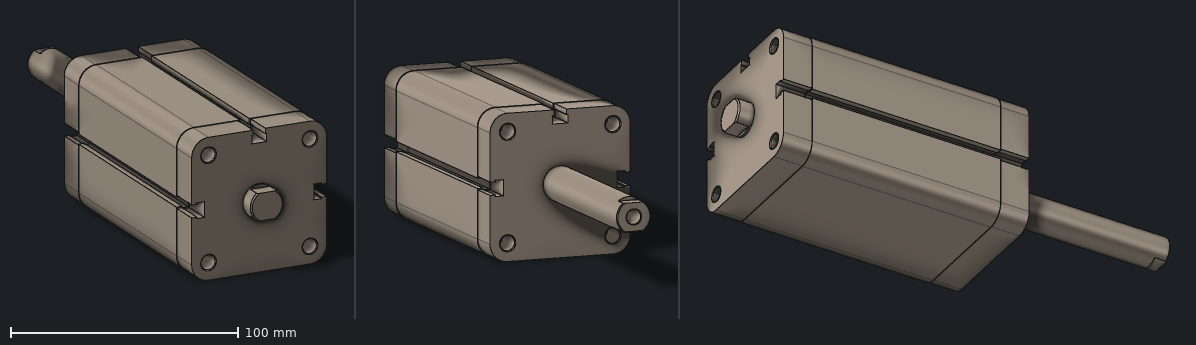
import cadquery as cq
import math


total_length = 221.0
front_cap_start = 87.3
cap_length = 14.5
barrel_length = 96.5
barrel_start = front_cap_start + cap_length
rear_cap_start = barrel_start + barrel_length

barrel_width = 67.0
cap_inset = 0.2
cap_width = barrel_width - 2 * cap_inset
hole_offset = 25.0

barrel_slot_opening = 4.6
barrel_slot_inner = 6.0
barrel_slot_floor = 27.6
slot_lip = 30.7
cap_slot_clearance = 0.7
slot_angles = (-90, 0, 90)

screw_hole_diameter = 6.9
screw_hole_chamfer = 0.5

rod_diameter = 16.1
flat_width = 12.8
front_flat_length = 6.2
front_chamfer = 0.5
rear_chamfer = 0.7
rear_flat_length = front_flat_length + rear_chamfer
thread_diameter = 6.6
thread_chamfer = 0.33
thread_depth = 20.0
drill_point_angle = 118.0


def along_x(start):
    """Workplane facing +X at the given x, with local x along Y and local y along Z."""
    return cq.Workplane("YZ", origin=(start, 0, 0))


def t_slot(start, length, width, opening, inner, floor):
    """T-shaped cutter for the +Z face, from the slot floor out to the face."""
    face = width / 2
    outline = (
        along_x(start)
        .moveTo(-inner / 2, floor)
        .lineTo(inner / 2, floor)
        .lineTo(inner / 2, slot_lip)
        .lineTo(opening / 2, slot_lip)
        .lineTo(opening / 2, face)
        .lineTo(-opening / 2, face)
        .lineTo(-opening / 2, slot_lip)
        .lineTo(-inner / 2, slot_lip)
        .close()
    )
    return outline.extrude(length)


def grooved_block(start, length, width, opening, inner, floor):
    """Rounded square block with T-slots, corner screw holes and a bore for the rod."""
    corner_radius = width / 2 - hole_offset
    block = along_x(start).rect(width, width).extrude(length).edges("|X").fillet(corner_radius)
    slot = t_slot(start, length, width, opening, inner, floor)
    for angle in slot_angles:
        block = block.cut(slot.rotate((0, 0, 0), (1, 0, 0), angle))
    screw_holes = (
        along_x(start)
        .rect(2 * hole_offset, 2 * hole_offset, forConstruction=True)
        .vertices()
        .circle(screw_hole_diameter / 2)
        .extrude(length)
    )
    bore = along_x(start).circle(rod_diameter / 2).extrude(length)
    return block.cut(screw_holes).cut(bore)


def make_barrel():
    return grooved_block(
        barrel_start,
        barrel_length,
        barrel_width,
        barrel_slot_opening,
        barrel_slot_inner,
        barrel_slot_floor,
    )


def make_cap(start, outer_face):
    """End cap whose screw holes are chamfered on the face picked by the outer_face selector."""
    cap = grooved_block(
        start,
        cap_length,
        cap_width,
        barrel_slot_opening + 2 * cap_slot_clearance,
        barrel_slot_inner + 2 * cap_slot_clearance,
        barrel_slot_floor - cap_slot_clearance,
    )
    screw_hole_rims = cap.faces(outer_face).edges(cq.selectors.RadiusNthSelector(0))
    return screw_hole_rims.chamfer(screw_hole_chamfer)


def flats_cutter(start, length):
    """Material above and below a pair of wrench flats."""
    around = along_x(start).rect(2 * rod_diameter, 2 * rod_diameter).extrude(length)
    kept = along_x(start).rect(2 * rod_diameter, flat_width).extrude(length)
    return around.cut(kept)


def threaded_hole():
    """Cutter for the chamfered blind hole in the -X end of the rod, ending in a drill point."""
    radius = thread_diameter / 2
    point_depth = radius / math.tan(math.radians(drill_point_angle / 2))
    profile = [
        (0, 0),
        (0, radius + thread_chamfer),
        (thread_chamfer, radius),
        (thread_depth, radius),
        (thread_depth + point_depth, 0),
    ]
    return cq.Workplane("XY").polyline(profile).close().revolve(360, (0, 0, 0), (1, 0, 0))


def make_rod():
    rod = along_x(0).circle(rod_diameter / 2).extrude(total_length)
    rod = rod.faces("<X").chamfer(front_chamfer)
    rod = rod.faces(">X").chamfer(rear_chamfer)
    rod = rod.cut(flats_cutter(0, front_flat_length))
    rod = rod.cut(flats_cutter(total_length - rear_flat_length, rear_flat_length))
    return rod.cut(threaded_hole())


barrel = make_barrel()
caps = [
    make_cap(front_cap_start, "<X"),
    make_cap(rear_cap_start, ">X"),
]
rod = make_rod()

result = cq.Compound.makeCompound([barrel.val(), *[cap.val() for cap in caps], rod.val()])